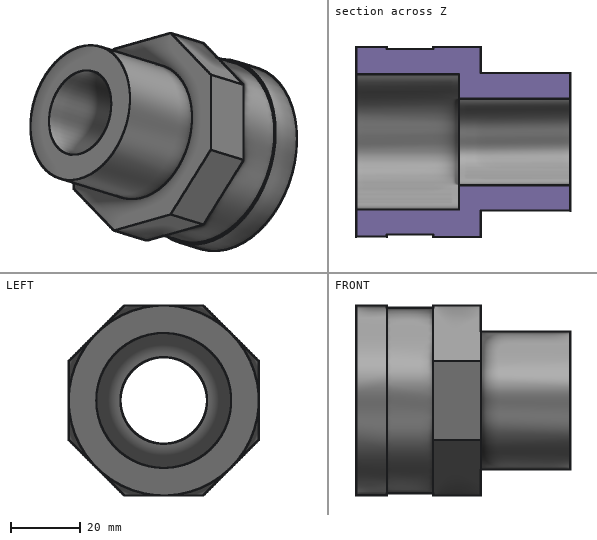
import cadquery as cq
import math

total_length = 62.0
collar_length = 8.9
nut_start = 22.3
nut_length = 13.75
nut_end = nut_start + nut_length
socket_depth = 29.75

nut_across_flats = 55.0
collar_diameter = nut_across_flats
neck_diameter = 53.8
spigot_diameter = 40.0
socket_diameter = 39.05
bore_diameter = 25.0

nut_sides = 8
nut_across_corners = nut_across_flats / math.cos(math.pi / nut_sides)
half_side_angle = 180 / nut_sides


def cylinder(diameter, start, end):
    """Solid cylinder along X between two stations."""
    return cq.Workplane("YZ").workplane(offset=start).circle(diameter / 2).extrude(end - start)


collar = cylinder(collar_diameter, 0, collar_length)
neck = cylinder(neck_diameter, collar_length, nut_start)
spigot = cylinder(spigot_diameter, nut_end, total_length)

nut = (
    cq.Workplane("YZ")
    .workplane(offset=nut_start)
    .polygon(nut_sides, nut_across_corners)
    .extrude(nut_length)
    .rotate((0, 0, 0), (1, 0, 0), half_side_angle)
)

socket = cylinder(socket_diameter, 0, socket_depth)
bore = cylinder(bore_diameter, 0, total_length)

result = collar.union(neck).union(nut).union(spigot).cut(socket).cut(bore)